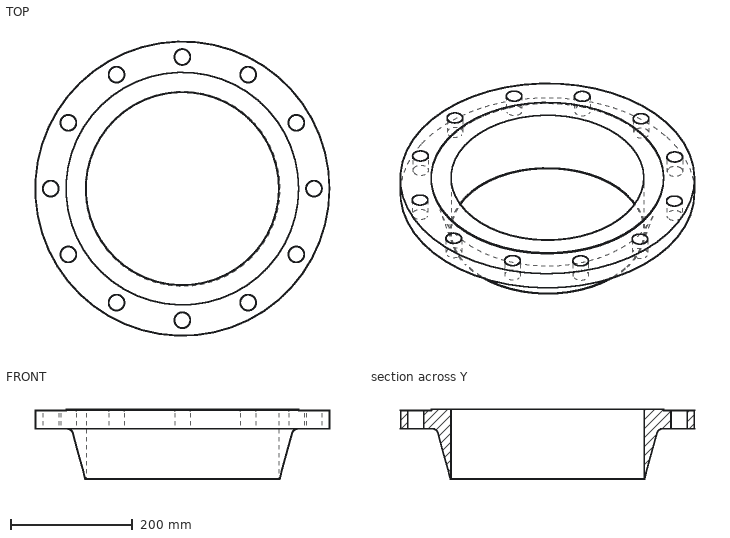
import cadquery as cq

flange_diameter = 482.5
total_height = 114.5

raised_face_diameter = 381.3
raised_face_height = 2.0
flange_thickness = 30.5

hub_diameter = 364.0
hub_fillet_radius = 9.0
neck_diameter = 324.5
neck_height = 10.5
bore_diameter = 316.0
weld_bevel_width = 2.5
weld_bevel_height = 9.0

bolt_count = 12
bolt_circle_diameter = 431.5
bolt_hole_diameter = 25.5

match_tolerance = 0.05

flange_top = total_height - raised_face_height
flange_bottom = flange_top - flange_thickness


def revolved_body():
    """Half section of the weld neck flange, revolved about Z."""
    bore_radius = bore_diameter / 2
    neck_radius = neck_diameter / 2
    section = (
        cq.Workplane("XZ")
        .moveTo(bore_radius, 0)
        .lineTo(neck_radius - weld_bevel_width, 0)
        .lineTo(neck_radius, weld_bevel_height)
        .lineTo(neck_radius, neck_height)
        .lineTo(hub_diameter / 2, flange_bottom)
        .lineTo(flange_diameter / 2, flange_bottom)
        .lineTo(flange_diameter / 2, flange_top)
        .lineTo(raised_face_diameter / 2, flange_top)
        .lineTo(raised_face_diameter / 2, total_height)
        .lineTo(bore_radius, total_height)
        .close()
    )
    return section.revolve(360, (0, 0, 0), (0, 1, 0))


def bolt_holes():
    """Cutters for the evenly spaced bolt holes through the flange plate."""
    return (
        cq.Workplane("XY")
        .workplane(offset=flange_bottom)
        .polarArray(bolt_circle_diameter / 2, 0, 360, bolt_count)
        .circle(bolt_hole_diameter / 2)
        .extrude(flange_thickness)
    )


def hub_root(body):
    """Circular edge where the tapered hub meets the underside of the flange plate."""
    hub_radius = hub_diameter / 2
    return body.edges("%CIRCLE").filter(lambda edge: abs(edge.radius() - hub_radius) < match_tolerance)


body = revolved_body()
body = hub_root(body).fillet(hub_fillet_radius)
result = body.cut(bolt_holes())